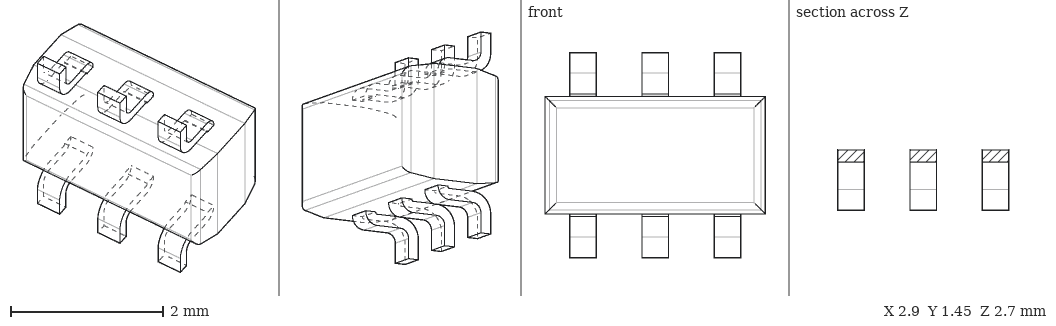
import cadquery as cq
import math

housing_length = 2.9
housing_depth = 1.45
housing_height = 1.55
band_depth = 0.65
draft_angle = 10.0
edge_radius = 0.1

lead_width = 0.35
lead_thickness = 0.15
lead_pitch = 0.95
leads_per_side = 3
lead_span = 2.7
shelf_gap = 0.03
shoulder_inner_radius = 0.023
foot_inner_radius = 0.125


def make_housing_half(direction):
    """Straight half band plus tapered, rounded block, towards -Y (-1) or +Y (+1)."""
    parting_plane = cq.Workplane(cq.Plane(origin=(0, 0, 0), xDir=(1, 0, 0), normal=(0, direction, 0)))
    taper_depth = (housing_depth - band_depth) / 2
    outer_face = ">Y" if direction > 0 else "<Y"
    return (
        parting_plane.rect(housing_length, housing_height)
        .extrude(band_depth / 2)
        .faces(outer_face)
        .wires()
        .toPending()
        .workplane()
        .extrude(taper_depth, taper=draft_angle)
        .faces(outer_face)
        .edges()
        .fillet(edge_radius)
    )


def make_housing():
    return make_housing_half(-1).union(make_housing_half(1), clean=True)


def make_lead(x_center):
    """Upper lead: rises from the top face, runs towards -Y, then turns up into a foot."""
    shoulder_outer_radius = shoulder_inner_radius + lead_thickness
    foot_outer_radius = foot_inner_radius + lead_thickness
    diagonal = math.sqrt(0.5)

    root_z = housing_height / 2
    shelf_low_z = root_z + shelf_gap
    shelf_high_z = shelf_low_z + lead_thickness
    tip_z = lead_span / 2
    root_back_y = lead_thickness / 2
    root_front_y = -lead_thickness / 2
    foot_front_y = -housing_depth / 2
    foot_back_y = foot_front_y + lead_thickness

    shoulder_y = root_front_y - shoulder_inner_radius
    shoulder_z = shelf_low_z - shoulder_inner_radius
    foot_y = foot_back_y + foot_inner_radius
    foot_z = shelf_high_z + foot_inner_radius

    def on_shoulder(radius):
        return (shoulder_y + radius * diagonal, shoulder_z + radius * diagonal)

    def on_foot(radius):
        return (foot_y - radius * diagonal, foot_z - radius * diagonal)

    return (
        cq.Workplane("YZ", origin=(x_center, 0, 0))
        .moveTo(root_front_y, root_z)
        .lineTo(root_back_y, root_z)
        .lineTo(root_back_y, shoulder_z)
        .threePointArc(on_shoulder(shoulder_outer_radius), (shoulder_y, shelf_high_z))
        .lineTo(foot_y, shelf_high_z)
        .threePointArc(on_foot(foot_inner_radius), (foot_back_y, foot_z))
        .lineTo(foot_back_y, tip_z)
        .lineTo(foot_front_y, tip_z)
        .lineTo(foot_front_y, foot_z)
        .threePointArc(on_foot(foot_outer_radius), (foot_y, shelf_low_z))
        .lineTo(shoulder_y, shelf_low_z)
        .threePointArc(on_shoulder(shoulder_inner_radius), (root_front_y, shoulder_z))
        .close()
        .extrude(lead_width / 2, both=True)
    )


housing = make_housing()

leads = []
for index in range(leads_per_side):
    x_center = (index - (leads_per_side - 1) / 2) * lead_pitch
    upper_lead = make_lead(x_center)
    lower_lead = upper_lead.mirror("XY")
    leads.append(upper_lead.val())
    leads.append(lower_lead.val())

result = cq.Compound.makeCompound([housing.val(), *leads])